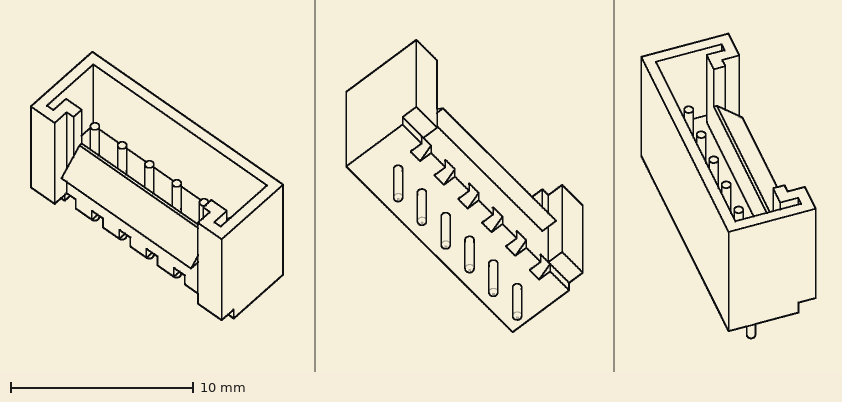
import cadquery as cq


pin_count = 6
pin_pitch = 2.0
pin_diameter = 0.5
pin_tip_fillet = 0.2
pin_bottom = -3.2
pin_top = 5.0

housing_length = 14.0
housing_height = 8.0
housing_depth = 5.1
back_y = 2.05
front_y = back_y - housing_depth

wall = 0.63
front_recess_depth = 1.0
floor_height = 2.6
front_wall_thickness = 0.68
front_wall_outer_y = front_y + front_recess_depth
front_wall_inner_y = front_wall_outer_y + front_wall_thickness
front_wall_top = 5.0
tongue_offset = 1.1
recess_length = 10.5
opening_length = 9.5

latch_bottom = 3.5
latch_run = front_wall_top - latch_bottom

relief_height = 0.8
relief_width = 0.8


def box_between(length, y_min, y_max, z_min, z_max):
    """Box centred on X = 0 that spans the given Y and Z ranges."""
    return (
        cq.Workplane("XY")
        .box(length, y_max - y_min, z_max - z_min, centered=(True, False, False))
        .translate((0, y_min, z_min))
    )


def profile_along_x(points, length):
    """Closed (Y, Z) profile extruded symmetrically about X = 0."""
    return cq.Workplane("YZ").polyline(points).close().extrude(length / 2, both=True)


def make_shroud():
    """Open-topped housing with hooked front corners and a low front wall."""
    shroud = box_between(housing_length, front_y, back_y, 0, housing_height)

    cavity_length = housing_length - 2 * wall
    tongue_span = housing_length - 2 * tongue_offset
    cavity = box_between(cavity_length, front_y + wall, back_y - wall, floor_height, housing_height)
    tongues = box_between(tongue_span, front_y, front_wall_inner_y, floor_height, housing_height)
    shroud = shroud.cut(cavity.cut(tongues))

    front_recess = box_between(recess_length, front_y, front_wall_outer_y, 0, housing_height)
    opening = box_between(opening_length, front_y, front_wall_inner_y, latch_bottom, housing_height)
    front_step = box_between(housing_length, front_y, front_wall_outer_y, 0, relief_height)
    return shroud.cut(front_recess).cut(opening).cut(front_step)


def make_latch():
    """Upper part of the front wall, whose 45 degree face overhangs the wall below."""
    ramp_top_y = front_y + latch_run
    profile = [
        (front_y, latch_bottom),
        (ramp_top_y, front_wall_top),
        (front_wall_inner_y, front_wall_top),
        (front_wall_inner_y, latch_bottom),
    ]
    return profile_along_x(profile, opening_length)


def make_pin_relief():
    """Sloped notch in the lower front edge of the housing, centred on X = 0."""
    profile = [
        (front_wall_outer_y, 0),
        (front_wall_outer_y, relief_height),
        (front_wall_outer_y + relief_height, 0),
    ]
    return profile_along_x(profile, relief_width)


def make_pin():
    """Round pin on the Z axis with a rounded lower tip."""
    return (
        cq.Workplane("XY", origin=(0, 0, pin_bottom))
        .circle(pin_diameter / 2)
        .extrude(pin_top - pin_bottom)
        .faces("<Z")
        .edges()
        .fillet(pin_tip_fillet)
    )


result = make_shroud().union(make_latch())
for index in range(pin_count):
    pin_x = (index - (pin_count - 1) / 2) * pin_pitch
    result = result.cut(make_pin_relief().translate((pin_x, 0, 0)))
    result = result.union(make_pin().translate((pin_x, 0, 0)))